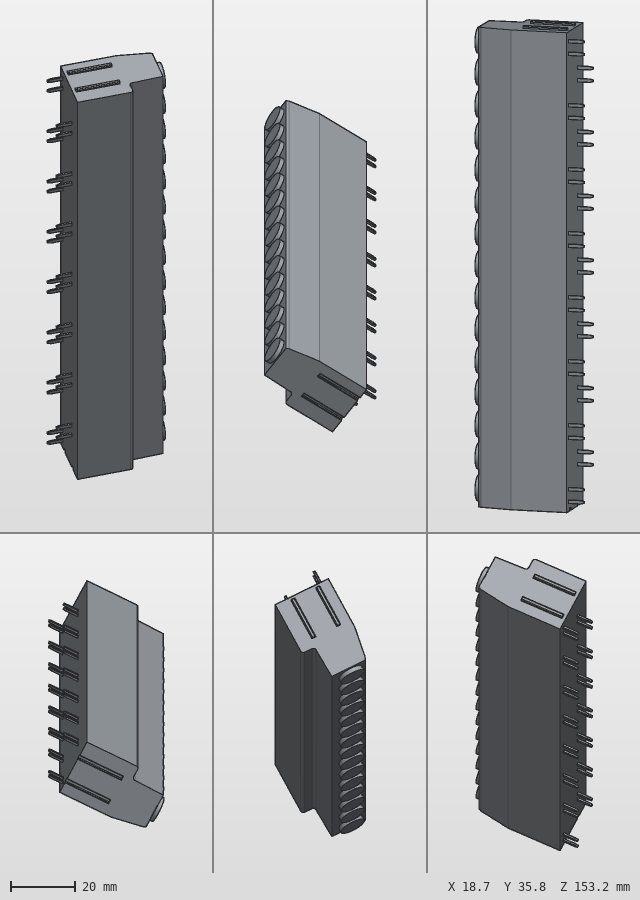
import cadquery as cq


pole_count = 15
total_height = 153.2
rib_height = 0.8
housing_height = total_height - rib_height
pole_pitch = housing_height / pole_count
housing_width = 18.7
housing_depth = 29.3
slope_start_y = 18.0
slope_end = (1.7, 28.3)
back_left_x = 2.1
back_right_x = 14.0
step_wall_x = 14.2
shelf_y = 18.2
step_fillet = 0.9
shelf_fillet = 0.9

screw_x = 7.4
screw_diameter = 8.3
screw_height = 1.5

right_column_x = 12.5
pin_columns_x = (right_column_x, right_column_x - pole_pitch)
pin_spacing = 4.0
pin_thickness = 0.6
pin_width = 1.0
pin_length = 5.0
pin_chamfer = 0.3
pin_tip_length = 1.0

rib_centres_x = (4.3, 13.0)
rib_width = 1.4
rib_chamfer = 0.3
rib_start_y = 1.0
rib_end_y = 15.3
slot_depth = 0.9


def pole_z(index):
    """Height of the centre of a pole, counted from the bottom end."""
    return (index + 0.5) * pole_pitch


def make_housing():
    outline = (
        cq.Workplane("XY")
        .moveTo(0, 0)
        .lineTo(0, slope_start_y)
        .lineTo(*slope_end)
        .lineTo(back_left_x, housing_depth)
        .lineTo(back_right_x, housing_depth)
        .lineTo(step_wall_x, shelf_y + step_fillet)
        .radiusArc((step_wall_x + step_fillet, shelf_y), -step_fillet)
        .lineTo(housing_width - shelf_fillet, shelf_y)
        .radiusArc((housing_width, shelf_y - shelf_fillet), shelf_fillet)
        .lineTo(housing_width, 0)
        .close()
    )
    return outline.extrude(housing_height)


def make_screw_heads():
    centres = [(screw_x, pole_z(i)) for i in range(pole_count)]
    back_face = cq.Workplane("XZ", origin=(0, housing_depth, 0))
    return back_face.pushPoints(centres).circle(screw_diameter / 2).extrude(-screw_height)


def make_pin(x, z):
    """Flat pin whose two wide edges taper towards the tip."""
    half_width = pin_width / 2
    tip_half_width = half_width - pin_chamfer
    shoulder_y = pin_tip_length - pin_length
    outline = [
        (0, z - half_width),
        (shoulder_y, z - half_width),
        (-pin_length, z - tip_half_width),
        (-pin_length, z + tip_half_width),
        (shoulder_y, z + half_width),
        (0, z + half_width),
    ]
    side = cq.Workplane("YZ", origin=(x, 0, 0))
    return side.polyline(outline).close().extrude(pin_thickness / 2, both=True)


def end_bar(x, start_y, end_y, base_z, height):
    """Bar along Y with its two long upper edges chamfered, used for the ribs and the slots."""
    bar = cq.Workplane("XY", origin=(x, start_y, base_z)).box(
        rib_width, end_y - start_y, height, centered=(True, False, False)
    )
    return bar.faces(">Z").edges("|Y").chamfer(rib_chamfer)


result = make_housing().union(make_screw_heads())

for pole in range(pole_count):
    column_x = pin_columns_x[(pole + 1) % 2]
    for side in (-1, 1):
        result = result.union(make_pin(column_x, pole_z(pole) + side * pin_spacing / 2))

for rib_x in rib_centres_x:
    result = result.union(end_bar(rib_x, rib_start_y, rib_end_y, housing_height, rib_height))
    result = result.cut(end_bar(rib_x, 0, rib_end_y, 0, slot_depth))